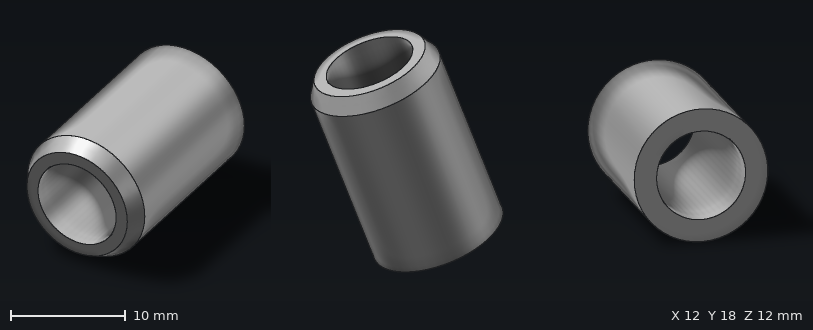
import cadquery as cq
import math

length = 18.0
outer_diameter = 12.0
bore_diameter = 8.0
taper_length = 1.5
taper_angle = 30.0

outer_radius = outer_diameter / 2
bore_radius = bore_diameter / 2
tip_radius = outer_radius - taper_length * math.tan(math.radians(taper_angle))

wall_section = (
    cq.Workplane("XY")
    .moveTo(bore_radius, 0)
    .lineTo(tip_radius, 0)
    .lineTo(outer_radius, taper_length)
    .lineTo(outer_radius, length)
    .lineTo(bore_radius, length)
    .close()
)

result = wall_section.revolve(360, (0, 0, 0), (0, 1, 0))